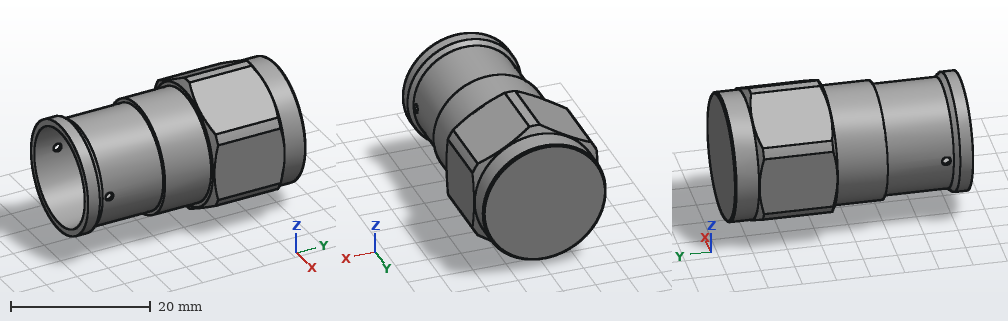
import cadquery as cq

length = 35.0
rim_end = 1.9
rim_taper_end = 2.7
barrel_end = 12.5
sleeve_end = 19.95
nut_end = 31.5
collar_chamfer = 0.2

rim_radius = 8.68
barrel_radius = 8.05
sleeve_radius = 8.65
collar_radius = 9.38

nut_across_flats = 18.95
nut_corner_radius = 10.5
nut_front_radius = 9.28
nut_chamfer_length = 0.7

bore_radius = 7.63
bore_depth = 10.0
cross_hole_diameter = 1.25
cross_hole_position = 3.78


def revolve_profile(points):
    """Revolve (radius, axial position) points around the Y axis."""
    return cq.Workplane("XY").polyline(points).close().revolve(360, (0, 0, 0), (0, 1, 0))


def make_turned_body():
    return revolve_profile([
        (0, 0),
        (rim_radius, 0),
        (rim_radius, rim_end),
        (barrel_radius, rim_taper_end),
        (barrel_radius, barrel_end),
        (sleeve_radius, barrel_end),
        (sleeve_radius, sleeve_end),
        (collar_radius, sleeve_end + nut_chamfer_length),
        (collar_radius, length - collar_chamfer),
        (collar_radius - collar_chamfer, length),
        (0, length),
    ])


def make_nut():
    """Hexagonal prism with turned corners and conical end chamfers."""
    hexagon = (
        cq.Workplane("XZ", origin=(0, sleeve_end, 0))
        .polygon(6, nut_across_flats, circumscribed=True)
        .extrude(sleeve_end - nut_end)
    )
    turned_envelope = revolve_profile([
        (0, sleeve_end),
        (nut_front_radius, sleeve_end),
        (nut_corner_radius, sleeve_end + nut_chamfer_length),
        (nut_corner_radius, nut_end - nut_chamfer_length),
        (collar_radius, nut_end),
        (0, nut_end),
    ])
    return hexagon.intersect(turned_envelope)


def make_bore():
    return cq.Workplane("XZ").circle(bore_radius).extrude(-bore_depth)


def make_cross_hole():
    return (
        cq.Workplane("YZ")
        .center(cross_hole_position, 0)
        .circle(cross_hole_diameter / 2)
        .extrude(rim_radius, both=True)
    )


result = make_turned_body().union(make_nut()).cut(make_bore()).cut(make_cross_hole())